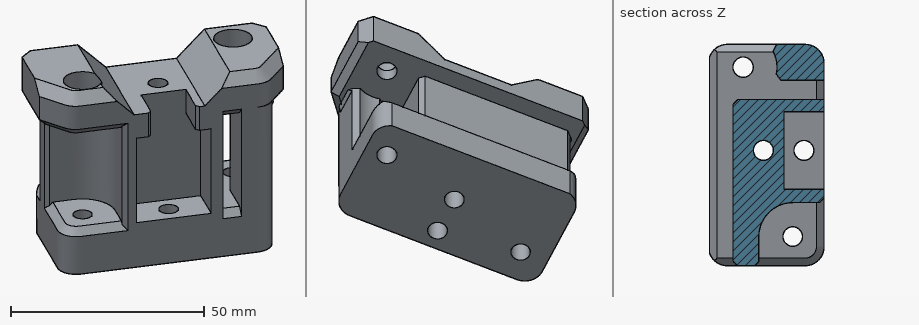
import cadquery as cq
import math

WIDTH = 29.75
HEIGHT = 52.0
CORNER_RADIUS = 5.0

BASE_LENGTH = 57.4
BASE_HEIGHT = 13.0
BASE_CHAMFER = 2.0
BASE_SIDE_TRIM = 0.25

PLATE_LENGTH = 65.5
PLATE_WIDTH = 28.0
PLATE_BOTTOM = 40.25
PLATE_CORNER_CUT = 3.0
PLATE_DIAGONAL_X = 8.0
PLATE_DIAGONAL_Y = 6.5
PLATE_TOP_CHAMFER = 3.0
PLATE_BOTTOM_CHAMFER = 2.0
VALLEY_DEPTH = 7.5
VALLEY_FLOOR_HALF = 9.5

REAR_SCREW = (8.75, 22.75)
FRONT_SCREW = (21.6, -21.1)
INNER_AXLE = (14.0, 1.2)
OUTER_AXLE = (24.5, 1.2)
REAR_SCREW_DIAMETER = 5.2
FRONT_SCREW_DIAMETER = 5.0
AXLE_DIAMETER = 5.1
COUNTERBORE_DIAMETER = 10.0
COUNTERBORE_DEPTH = 7.5

WEB_LEFT = 6.1
WEB_END = 14.4
WEB_CHAMFER = 1.25
WEB_INNER_CHAMFER = 1.1
SCREW_CLEARANCE_RADIUS = 8.75
COLUMN_START = 19.35
COLUMN_OUTER_CHAMFER = 2.25
COLUMN_INNER_CHAMFER = 1.7
FLARE_SIZE = 0.85

NOTCH_LEFT = 19.4
NOTCH_WIDTH = 12.0
NOTCH_FLARE = 0.85
CAVITY_WIDTH = 20.0
CAVITY_TOP = 37.6

BASE_HALF = BASE_LENGTH / 2
PLATE_HALF = PLATE_LENGTH / 2
PLATE_LEFT = WIDTH - PLATE_WIDTH
PLATE_THICKNESS = HEIGHT - PLATE_BOTTOM
UPRIGHT_BOTTOM = BASE_HEIGHT - BASE_CHAMFER
UPRIGHT_TOP = PLATE_BOTTOM + PLATE_BOTTOM_CHAMFER
UPRIGHT_HEIGHT = UPRIGHT_TOP - UPRIGHT_BOTTOM
UPRIGHT_MIDDLE = UPRIGHT_BOTTOM + UPRIGHT_HEIGHT / 2
WEB_RIGHT = FRONT_SCREW[0] - SCREW_CLEARANCE_RADIUS


def clearance_x(y):
    """X of the +X side of the rear screw's clearance circle at the given Y."""
    return REAR_SCREW[0] + math.sqrt(SCREW_CLEARANCE_RADIUS**2 - (y - REAR_SCREW[1]) ** 2)


COLUMN_OUTER_X = clearance_x(BASE_HALF)
COLUMN_INNER_X = clearance_x(COLUMN_START)


def box(x_range, y_range, z_range):
    """Box between the given limits along each axis."""
    size = [limits[1] - limits[0] for limits in (x_range, y_range, z_range)]
    corner = (x_range[0], y_range[0], z_range[0])
    return cq.Workplane("XY").box(*size, centered=False).translate(corner)


def beyond_x(limit):
    """Selector for edges whose centre lies on the +X side of the limit."""
    return cq.selectors.BoxSelector((limit, -PLATE_LENGTH, 0), (2 * WIDTH, PLATE_LENGTH, 2 * HEIGHT))


def edge_near(x, y, z):
    """Selector for the edge whose centre is nearest to the given point."""
    return cq.selectors.NearestToPointSelector((x, y, z))


def rounded_block(height):
    """Block with rounded upright edges, reaching slightly past the flat -X side."""
    block = box((-BASE_SIDE_TRIM, WIDTH), (-BASE_HALF, BASE_HALF), (0, height))
    return block.edges("|Z").fillet(CORNER_RADIUS)


def make_base():
    """Base with a bevelled top rim, mitred at the -X corners and conical at the +X ones."""
    block = box((0, WIDTH), (-BASE_HALF, BASE_HALF), (0, BASE_HEIGHT))
    block = block.edges("|Z and >X").fillet(CORNER_RADIUS)
    block = block.faces(">Z").chamfer(BASE_CHAMFER)
    return block.intersect(rounded_block(BASE_HEIGHT))


def make_web():
    """Wall on the -Y side that widens to +X beyond the front screw's clearance."""
    shelf = FRONT_SCREW[1] + SCREW_CLEARANCE_RADIUS
    arc_offset = SCREW_CLEARANCE_RADIUS * math.sqrt(0.5)
    arc_middle = (FRONT_SCREW[0] - arc_offset, FRONT_SCREW[1] + arc_offset)
    return (
        cq.Workplane("XY", origin=(0, 0, UPRIGHT_BOTTOM))
        .moveTo(WEB_LEFT, -BASE_HALF + WEB_CHAMFER)
        .lineTo(WEB_LEFT + WEB_CHAMFER, -BASE_HALF)
        .lineTo(WEB_RIGHT - WEB_INNER_CHAMFER, -BASE_HALF)
        .lineTo(WEB_RIGHT, -BASE_HALF + WEB_INNER_CHAMFER)
        .lineTo(WEB_RIGHT, FRONT_SCREW[1])
        .threePointArc(arc_middle, (FRONT_SCREW[0], shelf))
        .lineTo(WIDTH - WEB_CHAMFER, shelf)
        .lineTo(WIDTH, shelf + WEB_CHAMFER)
        .lineTo(WIDTH, WEB_END)
        .lineTo(WEB_LEFT + WEB_CHAMFER, WEB_END)
        .lineTo(WEB_LEFT, WEB_END - WEB_CHAMFER)
        .close()
        .extrude(UPRIGHT_HEIGHT)
    )


def make_column():
    """Column at the +Y end, hollowed on its -X side around the rear screw."""
    column = box((REAR_SCREW[0], WIDTH), (COLUMN_START, BASE_HALF), (UPRIGHT_BOTTOM, UPRIGHT_TOP))
    clearance = (
        cq.Workplane("XY", origin=(*REAR_SCREW, UPRIGHT_BOTTOM))
        .circle(SCREW_CLEARANCE_RADIUS)
        .extrude(UPRIGHT_HEIGHT)
    )
    column = column.cut(clearance).intersect(rounded_block(HEIGHT))
    outer_edge = edge_near(COLUMN_OUTER_X, BASE_HALF, UPRIGHT_MIDDLE)
    column = column.edges(outer_edge).chamfer(COLUMN_OUTER_CHAMFER)
    inner_edge = edge_near(COLUMN_INNER_X, COLUMN_START, UPRIGHT_MIDDLE)
    return column.edges(inner_edge).chamfer(COLUMN_INNER_CHAMFER)


def make_flare(x_start, x_end, side):
    """Overhang under the plate at one end of an upright; side is -1 or +1 along Y."""
    end = side * BASE_HALF
    tip = side * (BASE_HALF + FLARE_SIZE)
    plan = [(x_start, end), (x_start + FLARE_SIZE, tip), (x_end - FLARE_SIZE, tip), (x_end, end)]
    profile = [(end, PLATE_BOTTOM - FLARE_SIZE), (tip, PLATE_BOTTOM), (end, PLATE_BOTTOM)]
    prism = cq.Workplane("XY").polyline(plan).close().extrude(HEIGHT)
    wedge = cq.Workplane("YZ").polyline(profile).close().extrude(WIDTH)
    return prism.intersect(wedge)


def make_plate():
    """Plate with cut corners, chamfered rims and a V-shaped valley across it."""
    outline = [
        (PLATE_LEFT, -PLATE_HALF + PLATE_CORNER_CUT),
        (PLATE_LEFT + PLATE_CORNER_CUT, -PLATE_HALF),
        (WIDTH - PLATE_DIAGONAL_X, -PLATE_HALF),
        (WIDTH, -PLATE_HALF + PLATE_DIAGONAL_Y),
        (WIDTH, PLATE_HALF - PLATE_DIAGONAL_Y),
        (WIDTH - PLATE_DIAGONAL_X, PLATE_HALF),
        (PLATE_LEFT + PLATE_CORNER_CUT, PLATE_HALF),
        (PLATE_LEFT, PLATE_HALF - PLATE_CORNER_CUT),
    ]
    plane = cq.Workplane("XY", origin=(0, 0, PLATE_BOTTOM))
    plate = plane.polyline(outline).close().extrude(PLATE_THICKNESS)
    plate = plate.edges("|Z and >X").fillet(CORNER_RADIUS)
    plate = plate.faces(">Z").edges(beyond_x(WIDTH - PLATE_DIAGONAL_X)).chamfer(PLATE_TOP_CHAMFER)
    plate = plate.faces("<Z").edges(beyond_x(PLATE_LEFT + PLATE_CORNER_CUT)).chamfer(PLATE_BOTTOM_CHAMFER)
    return plate.cut(make_valley())


def make_valley():
    """V-shaped cutter with a flat floor and 45 degree sides, running along X."""
    floor = HEIGHT - VALLEY_DEPTH
    top_half = VALLEY_FLOOR_HALF + VALLEY_DEPTH
    profile = [
        (-VALLEY_FLOOR_HALF, floor),
        (VALLEY_FLOOR_HALF, floor),
        (top_half, HEIGHT),
        (-top_half, HEIGHT),
    ]
    return cq.Workplane("YZ").polyline(profile).close().extrude(WIDTH)


def make_hole(place, diameter):
    """Cutter for an upright hole through the whole part."""
    return cq.Workplane("XY").center(*place).circle(diameter / 2).extrude(HEIGHT)


def make_counterbore(place):
    """Cutter for a screw head recess, sunk from the top of the plate."""
    floor = HEIGHT - COUNTERBORE_DEPTH
    cutter = cq.Workplane("XY", origin=(*place, floor))
    return cutter.circle(COUNTERBORE_DIAMETER / 2).extrude(COUNTERBORE_DEPTH)


def make_notch():
    """Notch in the plate around the outer axle, flared at its open +X end."""
    half = NOTCH_WIDTH / 2
    centre = OUTER_AXLE[1]
    outline = [
        (NOTCH_LEFT, centre - half),
        (WIDTH - NOTCH_FLARE, centre - half),
        (WIDTH, centre - half - NOTCH_FLARE),
        (WIDTH, centre + half + NOTCH_FLARE),
        (WIDTH - NOTCH_FLARE, centre + half),
        (NOTCH_LEFT, centre + half),
    ]
    return cq.Workplane("XY", origin=(0, 0, BASE_HEIGHT)).polyline(outline).close().extrude(HEIGHT)


def make_cavity():
    """Wider room under the notch, open to +X."""
    half = CAVITY_WIDTH / 2
    centre = OUTER_AXLE[1]
    return box((NOTCH_LEFT, WIDTH), (centre - half, centre + half), (BASE_HEIGHT, CAVITY_TOP))


result = make_base().union(make_web()).union(make_column()).union(make_plate())
result = result.union(make_flare(WEB_LEFT + WEB_CHAMFER, WEB_RIGHT - WEB_INNER_CHAMFER, -1))
result = result.union(make_flare(COLUMN_OUTER_X + COLUMN_OUTER_CHAMFER, WIDTH - CORNER_RADIUS, 1))
result = result.cut(make_notch()).cut(make_cavity())
for place in (REAR_SCREW, FRONT_SCREW):
    result = result.cut(make_counterbore(place))
result = result.cut(make_hole(REAR_SCREW, REAR_SCREW_DIAMETER))
result = result.cut(make_hole(FRONT_SCREW, FRONT_SCREW_DIAMETER))
for place in (INNER_AXLE, OUTER_AXLE):
    result = result.cut(make_hole(place, AXLE_DIAMETER))